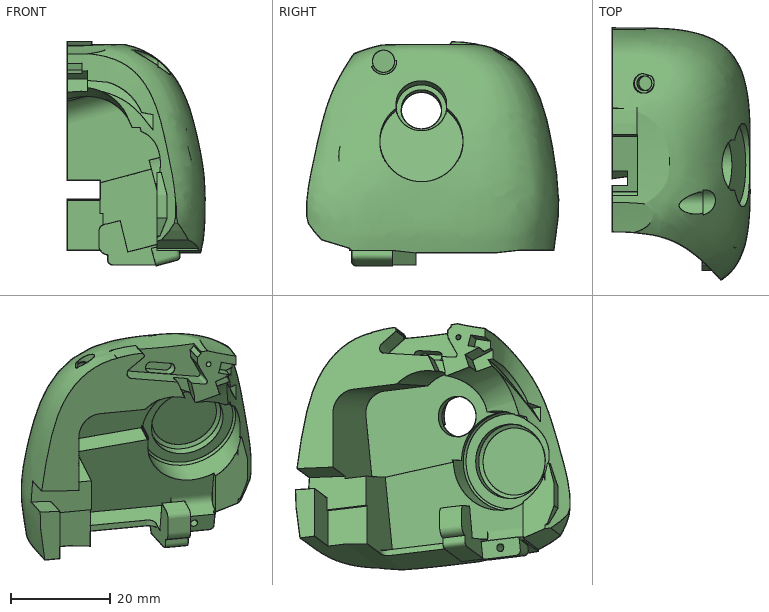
import cadquery as cq
import math

TILT = 15.0
FAR = 76.3
EPS = 0.05
WIDEST_Y = 22.9
SHELL_POINTS = 12

SHELL_LEVELS = [
    (2.65, 26.9, -2.8, 49.85, 4.0),
    (7.4, 27.65, -2.8, 50.45, 4.0),
    (14.75, 27.8, -2.8, 50.8, 3.9),
    (26.45, 26.3, -0.2, 49.15, 3.5),
    (34.35, 23.75, 2.3, 46.9, 3.2),
    (39.15, 20.85, 5.4, 44.1, 3.0),
    (43.0, 16.3, 9.65, 39.65, 2.8),
    (44.75, 11.2, 16.8, 33.55, 2.6),
]

WALL_U = 21.45
DEEP_WALL_U = 25.95
FLOOR_V = -0.45
SHELF_V = 14.5
CEILING_V = 32.1
CAVITY_BACK_Y = 42.7
BLOCK_FRONT_Y = 38.15
LOWER_FRONT_Y = 8.55
LEDGE_V = -0.95
LEDGE_BACK_Y = 17.3
HOOK_BACK_Y = 22.05
CEILING_RADIUS = 4.5
SIDE_WALL_X = 18.1
MOUTH_CROWN = 37.8


def tilted(shape):
    return shape.rotate((0, 0, 0), (0, 1, 0), -TILT)


def box(x0, x1, y0, y1, z0, z1):
    return cq.Workplane("XY").box(x1 - x0, y1 - y0, z1 - z0, centered=False).translate((x0, y0, z0))


def side_prism(points, x0, x1):
    """Prism along X from an outline of (y, z) points."""
    return cq.Workplane("YZ").workplane(offset=x0).polyline(points).close().extrude(x1 - x0)


def tilted_bore(diameter, y, v, u0, u1):
    bore = cq.Workplane("YZ").workplane(offset=u0).center(y, v).circle(diameter / 2).extrude(u1 - u0)
    return tilted(bore)


def tilted_cone(d0, d1, y, v, u0, u1):
    cone = cq.Solid.makeCone(d0 / 2, d1 / 2, u1 - u0, cq.Vector(u0, y, v), cq.Vector(1, 0, 0))
    return tilted(cq.Workplane(obj=cone))


def level_wire(height, half_width, front, back, squareness):
    """Half of a rounded outline, carried past the X = 0 plane so that it can be trimmed flat there."""
    points = []
    for i in range(2 * SHELL_POINTS + 1):
        angle = math.pi / 2 * (1 - i / SHELL_POINTS)
        reach = back - WIDEST_Y if angle > 0 else WIDEST_Y - front
        across = half_width * abs(math.cos(angle)) ** (2 / squareness)
        along = math.copysign(reach * abs(math.sin(angle)) ** (2 / squareness), angle)
        points.append(cq.Vector(across, WIDEST_Y + along, height))
    margin = cq.Vector(-2.55, 0, 0)
    points[0].x = 0
    points[-1].x = 0
    corners = [points[-1], points[-1] + margin, points[0] + margin, points[0]]
    edges = [cq.Edge.makeSpline(points)]
    edges += [cq.Edge.makeLine(start, end) for start, end in zip(corners, corners[1:])]
    return cq.Wire.assembleEdges(edges)


def front_opening():
    """Upright prism in front of the curved rim."""
    return (
        cq.Workplane("XY", origin=(0, 0, -FAR))
        .moveTo(-4.6, -FAR).lineTo(-4.6, 9.65).lineTo(0, 9.65)
        .spline([(6.8, 9.25), (12.7, 7.65), (17.3, 4.6), (21.85, 0)], includeCurrent=True)
        .lineTo(21.85, -FAR).close().extrude(2 * FAR)
    )


def make_shell():
    shell = cq.Workplane(obj=cq.Solid.makeLoft([level_wire(*level) for level in SHELL_LEVELS]))
    shell = shell.cut(box(-FAR, 0, -FAR, FAR, -FAR, FAR))
    tip = [(-FAR, 11.2), (-0.25, 11.2), (0.3, 8.65), (1.4, 7.05), (3.0, 5.3),
           (6.1, 4.3), (8.65, 3.55), (8.65, -0.5), (-FAR, -0.5)]
    shell = shell.cut(side_prism(tip, -0.5, FAR))
    base = [(8.65, -0.5), (8.65, 3.15), (17.3, 3.15), (21.85, 2.65), (38.15, 2.65), (42.7, 3.15), (FAR, 3.15), (FAR, -0.5)]
    shell = shell.cut(side_prism(base, -0.5, FAR))
    return shell.cut(front_opening()).cut(box(-0.5, FAR, -FAR, 0, -0.5, FAR))


def make_cavity():
    """Tilted main cavity: a lower bay, a deeper upper bay and the ledge above the screw bar."""
    lower = tilted(box(-FAR, WALL_U, LOWER_FRONT_Y, BLOCK_FRONT_Y, FLOOR_V, SHELF_V + 2.05))
    upper_front_y = 23.4
    shelf_rise = 1.35
    upper_outline = [(upper_front_y, SHELF_V + shelf_rise), (BLOCK_FRONT_Y, SHELF_V),
                     (CAVITY_BACK_Y, SHELF_V), (CAVITY_BACK_Y, CEILING_V), (upper_front_y, CEILING_V)]
    upper = side_prism(upper_outline, -FAR, DEEP_WALL_U).edges("|X and >Y and >Z").fillet(CEILING_RADIUS)
    middle = tilted(box(-FAR, WALL_U, 18.05, 25.45, SHELF_V, CEILING_V))
    ledge = tilted(box(-FAR, WALL_U, LOWER_FRONT_Y, LEDGE_BACK_Y, LEDGE_V, SHELF_V))
    return lower.union(ledge).union(tilted(upper)).union(middle)


def arch_wire(y, crown, haunch, flank):
    """Arch outline at one Y station, ending on the tilted wall."""
    return (
        cq.Workplane("XZ", origin=(0, y, 0)).moveTo(-0.5, -0.5).lineTo(-0.5, crown).lineTo(0, crown)
        .threePointArc(haunch, flank).lineTo(13.05, 27.95).lineTo(14.7, 27.9)
        .lineTo(SIDE_WALL_X, 15.25).lineTo(SIDE_WALL_X, -0.5).close().wires().val()
    )


def make_front_arch():
    throat = [
        arch_wire(2.05, 37.95, (7.65, 36.2), (11.5, 31.55)),
        arch_wire(18.3, 33.55, (8.15, 32.85), (12.6, 29)),
    ]
    mouth = (
        cq.Workplane("XZ", origin=(0, 12.7, 0)).moveTo(-0.5, -0.5).lineTo(-0.5, MOUTH_CROWN).lineTo(0, MOUTH_CROWN)
        .lineTo(8.15, 37.1).threePointArc((12.0, 35.05), (15.0, 30.95)).lineTo(17.3, 30.5).lineTo(17.3, 25.45)
        .lineTo(SIDE_WALL_X, 15.25).lineTo(SIDE_WALL_X, -0.5).close().extrude(FAR)
    )
    ledge_y = 10.8
    ledge_slope = 0.6
    drop = 30.5
    front_of_ledge = [(ledge_y, MOUTH_CROWN), (ledge_y - ledge_slope * drop, MOUTH_CROWN - drop),
                      (-FAR, MOUTH_CROWN - drop), (-FAR, MOUTH_CROWN)]
    mouth = mouth.intersect(side_prism(front_of_ledge, -0.5, FAR))
    return mouth.union(cq.Workplane(obj=cq.Solid.makeLoft(throat, True)))


def make_lip():
    """Forward edge of the side wall beside the front arch."""
    outline = [(8.65, 19.35), (3.05, 18.8), (1.9, 14.25), (1.9, 9.65), (3.3, 6.1), (6.1, 4.3), (8.65, 3.8)]
    return side_prism(outline, SIDE_WALL_X, 20.35)


def make_rear_gap():
    """Open space between the rear block and the X = 0 plane, and the space under the floor."""
    block_side_x = 6.6
    block_foot_x = 7.2
    rear_wall_y = 46.7
    floor_edge_x = 16.3
    gap = box(-0.5, block_side_x, BLOCK_FRONT_Y - EPS, rear_wall_y, -0.5, 17.3)
    step = box(-0.5, block_foot_x, BLOCK_FRONT_Y - EPS, rear_wall_y, -0.5, 10.65)
    slot_outline = [(40.7, 13.2), (rear_wall_y, 13.2), (51.35, 13.55), (51.35, 17.95), (CAVITY_BACK_Y, 17.3), (40.7, 17.3)]
    slot = side_prism(slot_outline, -0.5, block_side_x)
    under_floor = tilted(box(-FAR, 12.2, LOWER_FRONT_Y, BLOCK_FRONT_Y, -FAR, FLOOR_V + EPS))
    floor_notch = box(-FAR, floor_edge_x, HOOK_BACK_Y, BLOCK_FRONT_Y, -0.5, 6.1).edges("|Z and >X").fillet(1.55)
    return gap.union(step).union(slot).union(under_floor).union(floor_notch)


def cut_side_bores(body):
    """Round seat and stepped through hole, both along the tilted U direction."""
    seat_y, seat_v = 13.2, 15.05
    seat_floor_u = 27.45
    seat_bottom_u = 29.7
    seat_chamfer = 0.5
    body = body.cut(tilted_bore(20.0, seat_y, seat_v, 10.15, seat_floor_u - seat_chamfer))
    body = body.cut(tilted_cone(20.0, 19.15, seat_y, seat_v, seat_floor_u - seat_chamfer, seat_floor_u))
    body = body.cut(tilted_bore(15.0, seat_y, seat_v, seat_floor_u - EPS, seat_bottom_u - seat_chamfer))
    body = body.cut(tilted_cone(15.0, 13.55, seat_y, seat_v, seat_bottom_u - seat_chamfer, seat_bottom_u))

    hole_y, hole_v = 23.15, 25.25
    scoop_v = 17.65
    scoop_u = 30.35
    body = body.cut(tilted_bore(17.8, hole_y, hole_v, 0, DEEP_WALL_U))
    body = body.cut(tilted_bore(8.15, hole_y, hole_v, 15.25, FAR))
    body = body.cut(tilted_bore(10.2, hole_y, hole_v, 27.95, FAR))
    return body.cut(tilted_bore(16.8, hole_y, scoop_v, scoop_u, FAR))


def make_hook():
    return (
        cq.Workplane("XZ", origin=(0, HOOK_BACK_Y, 0))
        .moveTo(12.2, 2.85).lineTo(10.7, 9.15).lineTo(7.8, 8.45)
        .threePointArc((6.8, 8.05), (6.4, 7.2)).lineTo(6.4, 4.05)
        .threePointArc((6.9, 2.8), (8.15, 2.25)).lineTo(8.15, 1.2)
        .threePointArc((8.45, 0.5), (9.15, 0.2)).lineTo(18.3, 0.2).lineTo(21.35, 5.15).close()
        .extrude(HOOK_BACK_Y - LEDGE_BACK_Y)
    )


def make_screw_bar():
    bottom_v = -4.65
    corner_radius = 1
    bar = box(17.3, 22.6, 9.05, LEDGE_BACK_Y, bottom_v, LEDGE_V).edges("|Y and <Z and >X").fillet(corner_radius)
    bar = bar.edges("|X and <Y and <Z").fillet(corner_radius)
    fillet_size = 2.05
    arc_u = WALL_U - fillet_size
    arc_v = LEDGE_V + fillet_size
    corner = box(arc_u, WALL_U + 1, LOWER_FRONT_Y, LEDGE_BACK_Y, LEDGE_V - 0.5, arc_v)
    round_cut = cq.Workplane("XZ").center(arc_u, arc_v).circle(fillet_size).extrude(-FAR)
    return tilted(bar.union(corner.cut(round_cut))).cut(tilted_bore(1.5, 13.3, -2.7, 15.25, 21.35))


def make_tooth():
    outline = [(36.6, 40.7), (36.6, 43.85), (34.2, 44.8), (31.55, 45.15), (29.3, 45.25), (28.95, 44.75), (29, 44.25), (31.8, 41.95)]
    return side_prism(outline, 0, 5.0)


def make_latch_cuts():
    pocket_depth = 5.1
    pocket = side_prism([(28.95, 48.3), (28.95, 44.45), (34.2, 40.55), (15.25, 37.25),
                         (17.7, 41.7), (17.8, 43.25), (17.05, 44.0), (17.05, 48.3)], -0.5, pocket_depth)
    pocket = pocket.edges("|X and >Y").fillet(1.1).edges("|X and <Y").fillet(0.5)
    guide_slot = (
        cq.Workplane("YZ").workplane(offset=pocket_depth - 0.5).center(24.1, 40.0)
        .transformed(rotate=(0, 0, 10)).slot2D(6.2, 2.25).extrude(3.05)
    )
    drop_slot = side_prism([(22.2, 38.9), (20.35, 34.8), (19.85, 30.5), (18.3, 30.5), (18.35, 34.9), (19.15, 38.4)], -0.5, 3.05)
    upper_notch = side_prism([(13.3, 39.5), (12.7, 41.7), (5.1, 39.6), (5.1, 37.25)], -0.5, 2.95)
    lower_notch = side_prism([(5.1, 41.1), (14.0, 37.7), (13.1, 35.1), (5.1, 31.95)], -0.5, 4.05)
    pin_hole = cq.Workplane("YZ").workplane(offset=-0.5).center(15.4, 41.55).circle(1 / 2).extrude(4.6)
    return [pocket, guide_slot, drop_slot, upper_notch, lower_notch, pin_hole]


def make_top_dishes():
    """Two shallow spherical dips around the latch pocket."""
    thumb_radius = 134.8
    thumb = cq.Workplane("XY").sphere(thumb_radius).translate((0, 23.65, 44.2 + thumb_radius))
    lead_radius = 81.4
    lead_in = cq.Workplane("XY").sphere(lead_radius)
    lead_in = lead_in.translate((0, 13.2 - 0.28 * lead_radius, 43.7 + 0.96 * lead_radius))
    return [thumb, lead_in]


def make_top_screw_hole():
    depth = 4.6
    mouth_depth = 0.75
    mouth_height = 10.15
    hole = cq.Workplane(cq.Plane(origin=(6.4, 39.65, 42.2), normal=(-0.1, 0, 1)))
    mouth = hole.workplane(offset=-mouth_depth).circle(4.0 / 2).extrude(mouth_height)
    return hole.circle(3.0 / 2).extrude(-depth).union(mouth)


def make_side_pocket():
    """Horizontal stepped bore running out through the sloping shoulder."""
    pocket_y = 15.5
    pocket_z = 41.3
    bore = cq.Workplane("YZ").workplane(offset=10.15).center(pocket_y, pocket_z).circle(4.5 / 2).extrude(FAR)
    mouth = cq.Workplane("YZ").workplane(offset=18.3).center(pocket_y, pocket_z).circle(5.3 / 2).extrude(FAR)
    return bore.union(mouth)


def make_block_hole():
    depth = 4.05
    hole = cq.Workplane("XY").workplane(offset=SHELF_V - depth).center(17.2, 39.6)
    return tilted(hole.circle(1.5 / 2).extrude(depth + 0.5))


shell = make_shell()
for dish in make_top_dishes():
    shell = shell.cut(dish)
body = shell.union(make_tooth())
body = body.cut(make_cavity()).cut(make_front_arch()).union(make_lip()).cut(make_rear_gap())
body = cut_side_bores(body)
for cutter in make_latch_cuts():
    body = body.cut(cutter)
body = body.cut(make_top_screw_hole()).cut(make_side_pocket()).cut(make_block_hole())
result = body.union(make_hook()).union(make_screw_bar())